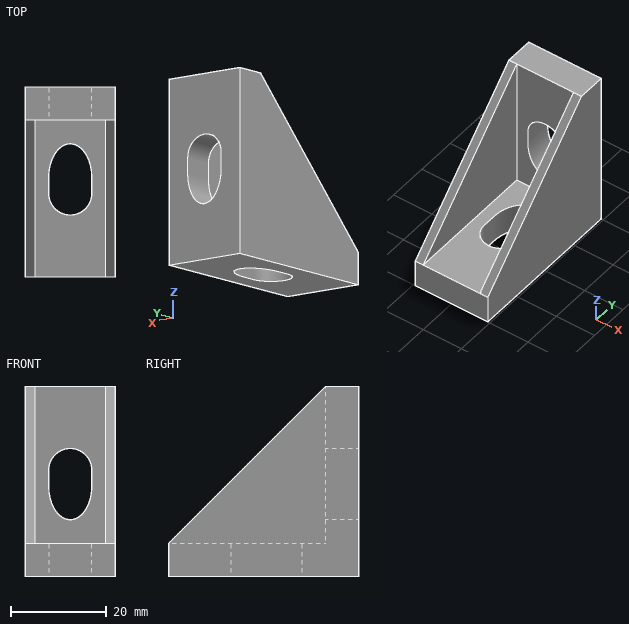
import cadquery as cq

width = 19.0
leg_length = 40.0
leg_thickness = 7.0
cheek_thickness = 2.1
slot_width = 9.0
slot_inner_end = 12.0
slot_outer_end = 26.9
slot_inner_height = 7.0

outer_profile = [
    (0, 0),
    (leg_length, 0),
    (leg_length, leg_thickness),
    (leg_thickness, leg_length),
    (0, leg_length),
]
pocket_profile = [
    (leg_thickness, leg_thickness),
    (leg_length, leg_thickness),
    (leg_thickness, leg_length),
]


def extrude_across(profile, thickness):
    """Extrude a side outline across X, centred, with the back face at Y = leg_length."""
    points = [(leg_length - distance, height) for distance, height in profile]
    return cq.Workplane("YZ").polyline(points).close().extrude(thickness / 2, both=True)


def slot_cutter(plane):
    """Slot through one leg, with a round outer end and an elliptical inner end.

    The plane's local Y runs along the leg, away from the corner.
    """
    radius = slot_width / 2
    outer_centre = slot_outer_end - radius
    inner_centre = slot_inner_end + slot_inner_height
    straight_sides = (
        cq.Workplane(plane)
        .center(0, (inner_centre + outer_centre) / 2)
        .rect(slot_width, outer_centre - inner_centre)
        .extrude(leg_thickness)
    )
    outer_end = cq.Workplane(plane).center(0, outer_centre).circle(radius).extrude(leg_thickness)
    inner_end = (
        cq.Workplane(plane)
        .center(0, inner_centre)
        .ellipse(radius, slot_inner_height)
        .extrude(leg_thickness)
    )
    return straight_sides.union(outer_end).union(inner_end)


back_face = cq.Plane(origin=(0, leg_length, 0), xDir=(1, 0, 0), normal=(0, -1, 0))
bottom_face = cq.Plane(origin=(0, leg_length, 0), xDir=(-1, 0, 0), normal=(0, 0, 1))

bracket = extrude_across(outer_profile, width)
bracket = bracket.cut(extrude_across(pocket_profile, width - 2 * cheek_thickness))

for face in (back_face, bottom_face):
    bracket = bracket.cut(slot_cutter(face))

result = bracket